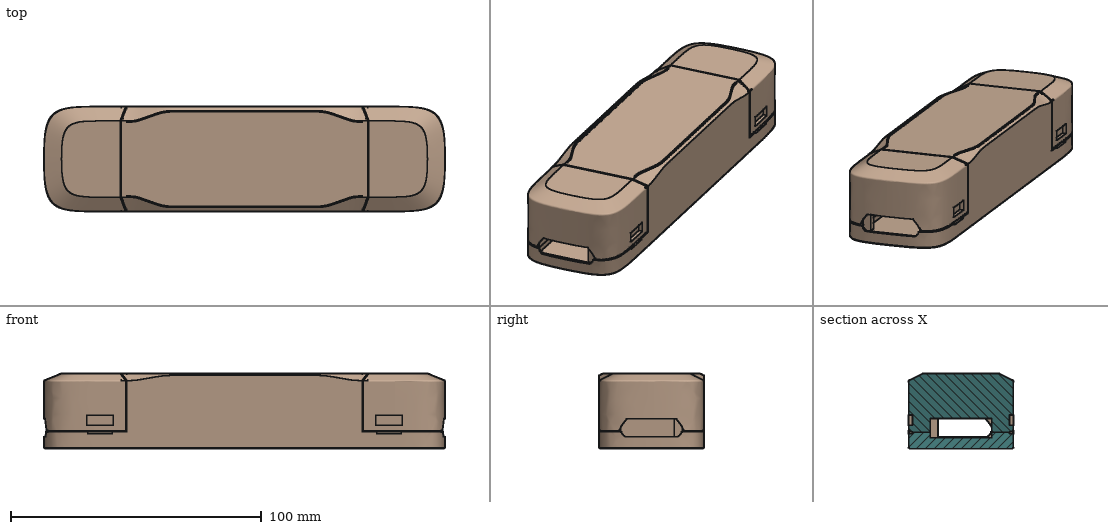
import cadquery as cq

LENGTH = 160.0
WIDTH = 42.0
HEIGHT = 30.0

CORNER_LENGTH = 20.0
END_FLAT = 2.4
CORNER_PULL_X = 16.8
CORNER_PULL_Y = 18.0

TOP_LENGTH = 146.0
TOP_WIDTH = 30.4
TOP_CORNER_LENGTH = 14.5
TOP_END_FLAT = 0.6
BEVEL_HEIGHT = 2.9
BEVEL_FILLET = 0.8
BOTTOM_CHAMFER = 0.5

MID_PLATE_WIDTH = 38.5
NARROW_BEND_X = 43.7
NARROW_BEND_REACH = 2.0
WIDE_BEND_X = 32.0
WIDE_BEND_REACH = 2.9

SEAM_Z = 6.7
CAP_INNER_X = 46.9
CAP_TOP_X = 49.1
GROOVE_WIDTH = 0.5
GROOVE_DEPTH = 0.5

PORT_BOTTOM_Z = 4.8
PORT_TOP_Z = 12.0
PORT_SHOULDER_Z = 9.8
PORT_CHAMFER = 1.3
PORT_TOP_WIDTH = 19.5
PORT_SHOULDER_WIDTH = 23.0
PORT_SEAM_WIDTH = 26.5
PORT_LOWER_WIDTH = 23.7
PORT_LIP = 1.6
RECESS_WIDTH = 24.3
RECESS_DROP = 0.3
POST_INNER_Y = 9.1
POST_LENGTH = 3.4
POST_OUTER_X = 77.5

LATCH_LENGTH = 10.7
LATCH_CENTER_X = 57.6
LATCH_BOTTOM_Z = 9.5
LATCH_HEIGHT = 4.0
LATCH_DEPTH = 1.6
NOTCH_LENGTH = 9.8
NOTCH_HEIGHT = 0.6

BEVEL_Z = HEIGHT - BEVEL_HEIGHT
BEVEL_RUN = (WIDTH - TOP_WIDTH) / 2
SIDES = (-1, 1)

SELECT_MARGIN = 0.2


def plan_outline(length, width, corner_length, end_flat, z):
    """Closed plan outline with four free-form corners, as a workplane at height z."""
    end_x = length / 2
    side_y = width / 2
    corner_x = end_x - corner_length
    flat_y = end_flat / 2
    corner_width = side_y - flat_y
    pull_x = CORNER_PULL_X * corner_length / CORNER_LENGTH
    pull_y = CORNER_PULL_Y * corner_width / ((WIDTH - END_FLAT) / 2)

    def corner(sx, sy):
        return [
            (sx * end_x, sy * flat_y),
            (sx * end_x, sy * (flat_y + pull_y)),
            (sx * (corner_x + pull_x), sy * side_y),
            (sx * corner_x, sy * side_y),
        ]

    return (
        cq.Workplane("XY", origin=(0, 0, z))
        .moveTo(end_x, -flat_y)
        .lineTo(end_x, flat_y)
        .bezier(corner(1, 1))
        .lineTo(-corner_x, side_y)
        .bezier(corner(-1, 1)[::-1])
        .lineTo(-end_x, -flat_y)
        .bezier(corner(-1, -1))
        .lineTo(corner_x, -side_y)
        .bezier(corner(1, -1)[::-1])
        .close()
    )


def plate_outline(inset=0.0):
    """Plan of the middle top plate: slanted, round-cornered steps widen it towards the middle."""
    narrow_y = TOP_WIDTH / 2 - inset
    wide_y = MID_PLATE_WIDTH / 2 - inset
    slant = (wide_y - narrow_y) / (NARROW_BEND_X - WIDE_BEND_X)

    def narrow_bend(sx, sy):
        return [
            (sx * (NARROW_BEND_X + NARROW_BEND_REACH), sy * narrow_y),
            (sx * NARROW_BEND_X, sy * narrow_y),
            (sx * (NARROW_BEND_X - NARROW_BEND_REACH), sy * (narrow_y + slant * NARROW_BEND_REACH)),
        ]

    def wide_bend(sx, sy):
        return [
            (sx * (WIDE_BEND_X + WIDE_BEND_REACH), sy * (wide_y - slant * WIDE_BEND_REACH)),
            (sx * WIDE_BEND_X, sy * wide_y),
            (sx * (WIDE_BEND_X - WIDE_BEND_REACH), sy * wide_y),
        ]

    bends = [
        narrow_bend(1, 1),
        wide_bend(1, 1),
        wide_bend(-1, 1)[::-1],
        narrow_bend(-1, 1)[::-1],
        narrow_bend(-1, -1),
        wide_bend(-1, -1),
        wide_bend(1, -1)[::-1],
        narrow_bend(1, -1)[::-1],
    ]
    outline = cq.Workplane("XY", origin=(0, 0, BEVEL_Z))
    outline = outline.moveTo(CAP_TOP_X, -narrow_y).lineTo(CAP_TOP_X, narrow_y)
    for bend in bends[:4]:
        outline = outline.lineTo(*bend[0]).bezier(bend)
    outline = outline.lineTo(-CAP_TOP_X, narrow_y).lineTo(-CAP_TOP_X, -narrow_y)
    for bend in bends[4:]:
        outline = outline.lineTo(*bend[0]).bezier(bend)
    return outline.close()


def box(x0, x1, y0, y1, z0, z1):
    """Box between two opposite corners."""
    return cq.Workplane("XY").box(x1 - x0, y1 - y0, z1 - z0, centered=False).translate((x0, y0, z0))


def end_form(inset=0.0):
    """Full-length case with the sloping band at its end width, shrunk on all sides by inset."""
    length = LENGTH - 2 * inset
    width = WIDTH - 2 * inset
    lower_z = BEVEL_Z - inset
    walls = plan_outline(length, width, CORNER_LENGTH, END_FLAT, 0).extrude(lower_z)
    foot = plan_outline(length, width, CORNER_LENGTH, END_FLAT, lower_z).wires().val()
    top = plan_outline(TOP_LENGTH, TOP_WIDTH, TOP_CORNER_LENGTH, TOP_END_FLAT, HEIGHT - inset).wires().val()
    return walls.union(cq.Workplane(cq.Solid.makeLoft([foot, top], True)))


def middle_top():
    """Top of the middle stretch: the plate with its sloping flanks, spread downward and outward."""
    block = box(-CAP_TOP_X, CAP_TOP_X, -WIDTH / 2, WIDTH / 2, BEVEL_Z, HEIGHT)
    shoulder = box(-CAP_INNER_X, CAP_INNER_X, -WIDTH / 2, WIDTH / 2, SEAM_Z, BEVEL_Z)
    plate = plate_outline().extrude(BEVEL_HEIGHT)
    plan = cq.Face.makeFromWires(plate_outline().wires().val()).translate(cq.Vector(0, 0, BEVEL_HEIGHT))
    spread = plate
    for side in SIDES:
        slope = cq.Vector(0, side * BEVEL_RUN, -BEVEL_HEIGHT)
        spread = spread.union(cq.Workplane(cq.Solid.extrudeLinear(plan, slope)))
    return block.intersect(spread).union(shoulder)


def case_form():
    """Outer shape of the closed case."""
    ends = end_form().faces("<Z").edges().chamfer(BOTTOM_CHAMFER)
    bevel_edges = cq.selectors.BoxSelector(
        (-LENGTH, -WIDTH, BEVEL_Z - SELECT_MARGIN),
        (LENGTH, WIDTH, BEVEL_Z + SELECT_MARGIN),
    )
    ends = ends.edges(bevel_edges).fillet(BEVEL_FILLET)
    return ends.union(middle_top())


def seam_points(side, shift=0.0):
    """Inner edge of one cap in XZ, from the bottom up, moved into the cap by shift."""
    return [
        (side * (CAP_INNER_X + shift), SEAM_Z + shift),
        (side * (CAP_INNER_X + shift), BEVEL_Z),
        (side * (CAP_TOP_X + shift), HEIGHT),
    ]


def across_width(points):
    """Prism of an XZ polygon over the full width of the case."""
    return cq.Workplane("XZ", origin=(0, WIDTH / 2, 0)).polyline(points).close().extrude(WIDTH)


def cap_region(side):
    """Space above the parting line at one end, with an inner face that leans back over the bevel."""
    end_x = side * LENGTH / 2
    return across_width([(end_x, SEAM_Z), *seam_points(side), (end_x, HEIGHT)])


def groove_strip(side):
    """Strip along the lower and inner faces of one cap region."""
    end_x = side * LENGTH / 2
    far_edge = seam_points(side, GROOVE_WIDTH)[::-1]
    return across_width([(end_x, SEAM_Z), *seam_points(side), *far_edge, (end_x, SEAM_Z + GROOVE_WIDTH)])


def port(side):
    """Connector opening in one end: a flared mouth, and a wider blind recess behind it."""
    half_outline = [
        (PORT_LOWER_WIDTH / 2 - PORT_CHAMFER, PORT_BOTTOM_Z),
        (PORT_LOWER_WIDTH / 2, PORT_BOTTOM_Z + PORT_CHAMFER),
        (PORT_LOWER_WIDTH / 2, SEAM_Z),
        (PORT_SEAM_WIDTH / 2, SEAM_Z),
        (PORT_SHOULDER_WIDTH / 2, PORT_SHOULDER_Z),
        (PORT_TOP_WIDTH / 2, PORT_TOP_Z),
    ]
    mirrored_half = [(-y, z) for y, z in reversed(half_outline)]
    mouth = (
        cq.Workplane("YZ", origin=(side * LENGTH / 2, 0, 0))
        .polyline(half_outline + mirrored_half)
        .close()
        .extrude(-side * PORT_LIP)
    )
    recess = recess_box(side, CAP_INNER_X, LENGTH / 2 - PORT_LIP, -RECESS_WIDTH / 2)
    return mouth.union(recess)


def recess_box(side, x0, x1, y0):
    """Box that fills the recess of one end between distances x0 and x1, from y0 to its +Y wall."""
    near_x, far_x = sorted((side * x0, side * x1))
    return box(near_x, far_x, y0, RECESS_WIDTH / 2, PORT_BOTTOM_Z - RECESS_DROP, PORT_TOP_Z)


def post(side):
    """Upright post on the recess floor, against the +Y wall just behind the mouth."""
    return recess_box(side, POST_OUTER_X - POST_LENGTH, POST_OUTER_X, POST_INNER_Y)


def side_pocket(side_x, side_y, length, z0, height):
    """Shallow rectangular pocket in one side wall, near one end."""
    return cq.Workplane("XY").box(length, 2 * LATCH_DEPTH, height).translate(
        (side_x * LATCH_CENTER_X, side_y * WIDTH / 2, z0 + height / 2)
    )


case = case_form()
ports = port(-1).union(port(1))
lid_region = plate_outline().extrude(BEVEL_HEIGHT).union(cap_region(-1)).union(cap_region(1))


def make_base():
    """Tray with a tall middle, carrying a post behind each connector port."""
    base = case.cut(lid_region).cut(ports)
    for side_x in SIDES:
        base = base.union(post(side_x))
        for side_y in SIDES:
            base = base.cut(side_pocket(side_x, side_y, NOTCH_LENGTH, SEAM_Z - NOTCH_HEIGHT, NOTCH_HEIGHT))
    return base


def make_lid():
    """Two end caps joined by the top plate, with a shadow groove along every edge of the parting line."""
    lid = case.intersect(lid_region).cut(ports)
    core = end_form(GROOVE_DEPTH)
    for side_x in SIDES:
        lid = lid.cut(groove_strip(side_x).cut(core))
        for side_y in SIDES:
            lid = lid.cut(side_pocket(side_x, side_y, LATCH_LENGTH, LATCH_BOTTOM_Z, LATCH_HEIGHT))
    plate_inner = plate_outline(GROOVE_WIDTH).extrude(BEVEL_HEIGHT)
    plate_groove = plate_outline().extrude(BEVEL_HEIGHT).cut(plate_inner)
    upper = box(-CAP_INNER_X, CAP_INNER_X, -WIDTH / 2, WIDTH / 2, HEIGHT - GROOVE_DEPTH, HEIGHT)
    return lid.cut(plate_groove.intersect(upper))


base = make_base()
lid = make_lid()

result = cq.Compound.makeCompound([base.solids().val(), lid.solids().val()])